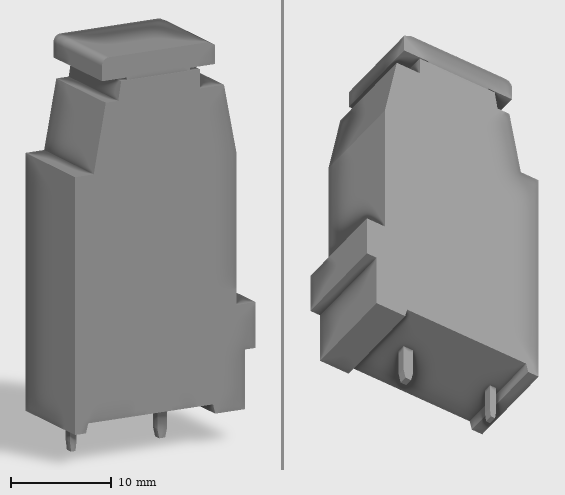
import cadquery as cq


HOUSING_WIDTH = 10.15
HOUSING_DEPTH = 20.6
FOOT_Z = 3.18
FLOOR_Z = 4.2
LUG_BOTTOM_Z = 9.35
LUG_TOP_Z = 14.13
SHOULDER_Z = 29.93
LEDGE_Z = 37.15
HOUSING_TOP_Z = 39.15
BASE_BACK_Y = 19.45
BODY_BACK_Y = 18.45
TAPER_FRONT_Y = 2.15
LEDGE_FRONT_Y = 3.5
LEDGE_BACK_Y = 17.0
NECK_FRONT_BOTTOM_Y = 4.95
NECK_FRONT_TOP_Y = 5.25
NECK_BACK_Y = 14.25
RECESS_FRONT_Y = 1.25
RECESS_BACK_Y = 16.0
RECESS_SIDE_SLOPE = 0.25

TOTAL_HEIGHT = 41.8
CAP_WIDTH = 9.95
CAP_BOTTOM_Z = 39.4
CAP_FRONT_Y = 3.15
CAP_BACK_Y = 16.05
CAP_FRONT_RADIUS = 0.8
CAP_CHAMFER_RUN = 0.8
CAP_CHAMFER_DROP = 0.38
STEM_FRONT_Y = 5.98
STEM_BACK_Y = 13.15

PIN_THICKNESS = 0.88
PIN_TAPER_HEIGHT = 1.0
FRONT_PIN_Y = 2.4
PIN_PITCH = 10.15
PINS = [
    (FRONT_PIN_Y, 0.75, 0.5),
    (FRONT_PIN_Y + PIN_PITCH, 1.13, 0.65),
]


def extrude_across(profile, width):
    """Close a profile in the YZ plane and extrude it symmetrically along X."""
    return profile.close().extrude(width / 2, both=True)


def make_housing():
    outline = cq.Workplane("YZ").polyline([
        (0, FOOT_Z),
        (0, SHOULDER_Z),
        (TAPER_FRONT_Y, SHOULDER_Z),
        (LEDGE_FRONT_Y, LEDGE_Z),
        (NECK_FRONT_BOTTOM_Y, LEDGE_Z),
        (NECK_FRONT_TOP_Y, HOUSING_TOP_Z),
        (NECK_BACK_Y, HOUSING_TOP_Z),
        (NECK_BACK_Y, LEDGE_Z),
        (LEDGE_BACK_Y, LEDGE_Z),
        (BODY_BACK_Y, SHOULDER_Z),
        (BODY_BACK_Y, LUG_TOP_Z),
        (HOUSING_DEPTH, LUG_TOP_Z),
        (HOUSING_DEPTH, LUG_BOTTOM_Z),
        (BASE_BACK_Y, LUG_BOTTOM_Z),
        (BASE_BACK_Y, FOOT_Z),
        (RECESS_BACK_Y, FOOT_Z),
        (RECESS_BACK_Y - RECESS_SIDE_SLOPE, FLOOR_Z),
        (RECESS_FRONT_Y + RECESS_SIDE_SLOPE, FLOOR_Z),
        (RECESS_FRONT_Y, FOOT_Z),
    ])
    return extrude_across(outline, HOUSING_WIDTH)


def make_cap():
    """Push cap whose short stem rests on the housing top."""
    outline = (
        cq.Workplane("YZ")
        .moveTo(STEM_FRONT_Y, HOUSING_TOP_Z)
        .lineTo(STEM_FRONT_Y, CAP_BOTTOM_Z)
        .lineTo(CAP_FRONT_Y, CAP_BOTTOM_Z)
        .lineTo(CAP_FRONT_Y, TOTAL_HEIGHT - CAP_FRONT_RADIUS)
        .radiusArc((CAP_FRONT_Y + CAP_FRONT_RADIUS, TOTAL_HEIGHT), CAP_FRONT_RADIUS)
        .lineTo(CAP_BACK_Y - CAP_CHAMFER_RUN, TOTAL_HEIGHT)
        .lineTo(CAP_BACK_Y, TOTAL_HEIGHT - CAP_CHAMFER_DROP)
        .lineTo(CAP_BACK_Y, CAP_BOTTOM_Z)
        .lineTo(STEM_BACK_Y, CAP_BOTTOM_Z)
        .lineTo(STEM_BACK_Y, HOUSING_TOP_Z)
    )
    return extrude_across(outline, CAP_WIDTH)


def make_pin(center_y, shank_width, tip_width):
    """Flat pin hanging from the recess ceiling, tapered towards its tip."""
    outline = cq.Workplane("YZ").polyline([
        (center_y - shank_width / 2, FLOOR_Z),
        (center_y - shank_width / 2, PIN_TAPER_HEIGHT),
        (center_y - tip_width / 2, 0),
        (center_y + tip_width / 2, 0),
        (center_y + shank_width / 2, PIN_TAPER_HEIGHT),
        (center_y + shank_width / 2, FLOOR_Z),
    ])
    return extrude_across(outline, PIN_THICKNESS)


housing = make_housing()
cap = make_cap()
pins = [make_pin(*pin_sizes) for pin_sizes in PINS]

result = cq.Compound.makeCompound([
    housing.val(),
    cap.val(),
    *[pin.val() for pin in pins],
])